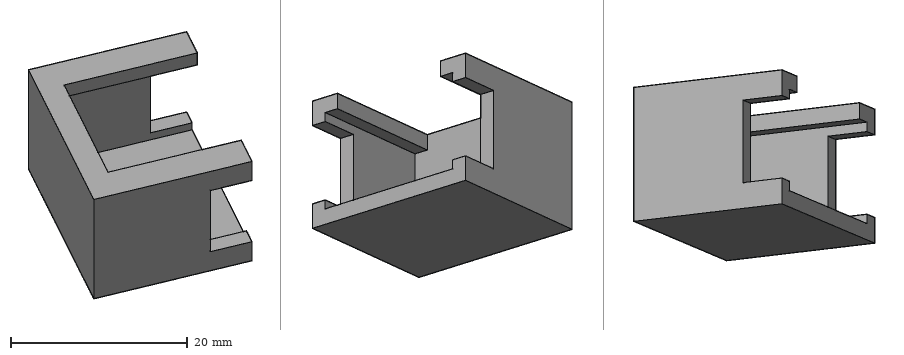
import cadquery as cq

width = 22.53
depth = 19.0
height = 15.6

wall_thickness = 1.9
front_wall = 3.0

top_opening_width = 15.13

notch_depth = 5.0
rail_height = 3.0

bay_width = width - 2 * wall_thickness
bay_depth = depth - front_wall
bay_height = height - 2 * wall_thickness
notch_height = height - 2 * rail_height


def block(size_x, size_y, size_z, start_y=0, start_z=0):
    """Box centred on X that starts at the given Y and Z."""
    box = cq.Workplane("XY").box(size_x, size_y, size_z, centered=(True, False, False))
    return box.translate((0, start_y, start_z))


def make_bay():
    """Wide space between the floor and the lips, open at the back."""
    return block(bay_width, bay_depth, bay_height, front_wall, wall_thickness)


def make_top_opening():
    """Narrower opening between the lips, from the bay up through the top."""
    lip_underside = height - wall_thickness
    return block(top_opening_width, bay_depth, wall_thickness, front_wall, lip_underside)


def make_notch():
    """Cut across the back edges of both side walls."""
    return block(width, notch_depth, notch_height, depth - notch_depth, rail_height)


result = block(width, depth, height).cut(make_bay()).cut(make_top_opening()).cut(make_notch())